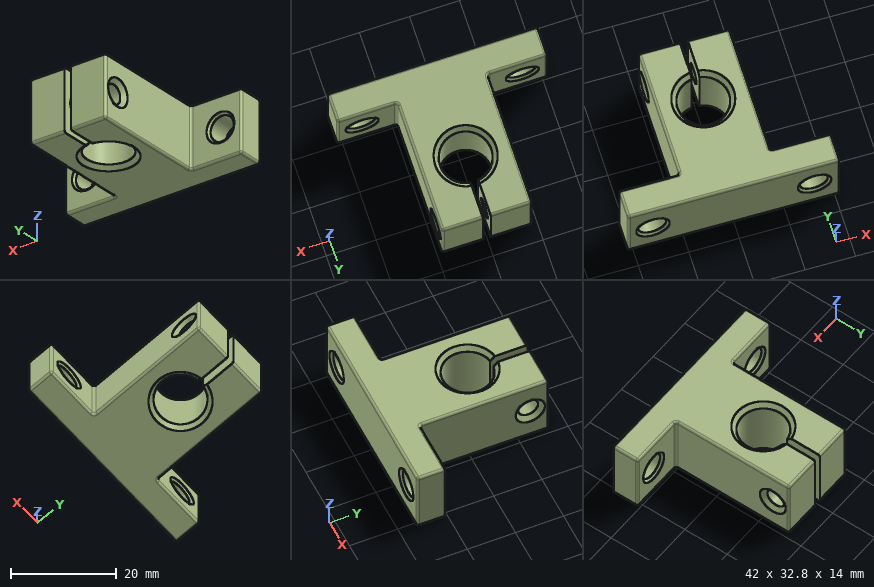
import cadquery as cq

flange_length = 42.0
flange_thickness = 6.0
total_depth = 32.8
height = 14.0
block_width = 18.0
edge_fillet = 0.5

bore_diameter = 10.2
bore_rim_diameter = 12.15
bore_y = 20.0
slot_width = 1.5

mount_diameter = 5.5
mount_rim_diameter = 6.6
mount_spacing = 32.0

screw_diameter = 4.1
screw_rim_diameter = 6.1
screw_y = 29.0


def chamfered_hole(diameter, rim_diameter, length):
    """Through-hole cutter along Z, centred on the origin, with 45 degree rims at both ends."""
    radius = diameter / 2
    rim_radius = rim_diameter / 2
    rim_depth = rim_radius - radius
    half = length / 2
    return (
        cq.Workplane("XZ")
        .moveTo(0, -half)
        .lineTo(rim_radius, -half)
        .lineTo(radius, -half + rim_depth)
        .lineTo(radius, half - rim_depth)
        .lineTo(rim_radius, half)
        .lineTo(0, half)
        .close()
        .revolve(360, (0, 0), (0, 1))
    )


def make_body():
    """T-shaped body with rounded inner corners and softened outer edges."""
    flange = cq.Workplane("XY").box(
        flange_length, flange_thickness, height, centered=(True, False, True)
    )
    block = cq.Workplane("XY").box(block_width, total_depth, height, centered=(True, False, True))
    body = flange.union(block)
    inner_corners = cq.selectors.BoxSelector(
        (-block_width / 2 - edge_fillet, flange_thickness - edge_fillet, -height),
        (block_width / 2 + edge_fillet, flange_thickness + edge_fillet, height),
    )
    body = body.edges("|Z").edges(inner_corners).fillet(edge_fillet)
    outer_corners = body.edges("|Z").edges("<X or >X or >Y")
    body = outer_corners.fillet(edge_fillet)
    return body.faces("<Z or >Z").edges().fillet(edge_fillet)


result = make_body()

bore = chamfered_hole(bore_diameter, bore_rim_diameter, height)
result = result.cut(bore.translate((0, bore_y, 0)))

slot = cq.Workplane("XY").box(
    slot_width, total_depth - bore_y, height, centered=(True, False, True)
)
result = result.cut(slot.translate((0, bore_y, 0)))

mount_hole = chamfered_hole(mount_diameter, mount_rim_diameter, flange_thickness)
mount_hole = mount_hole.rotate((0, 0, 0), (1, 0, 0), 90)
for side in (-1, 1):
    result = result.cut(mount_hole.translate((side * mount_spacing / 2, flange_thickness / 2, 0)))

screw_hole = chamfered_hole(screw_diameter, screw_rim_diameter, block_width)
screw_hole = screw_hole.rotate((0, 0, 0), (0, 1, 0), 90)
result = result.cut(screw_hole.translate((0, screw_y, 0)))